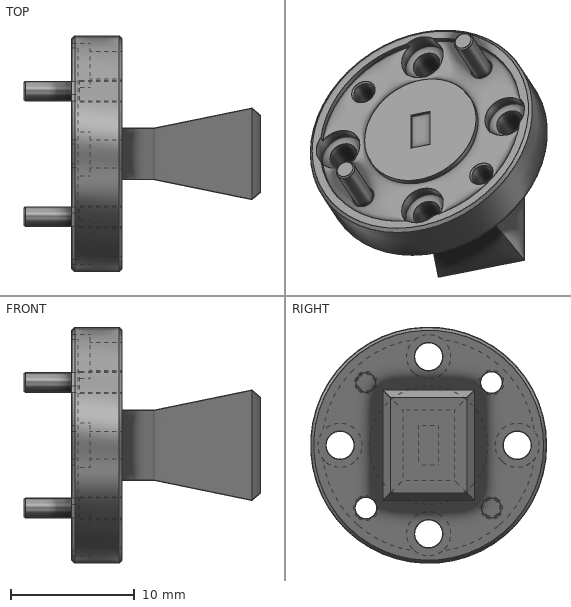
import cadquery as cq

FLANGE_DIAMETER = 19.05
FLANGE_THICKNESS = 4.07
FLANGE_CHAMFER = 0.25

RECESS_OUTER_DIAMETER = 17.22
BOSS_DIAMETER = 9.55
RECESS_DEPTH = 0.5

WINDOW_WIDTH = 1.62
WINDOW_HEIGHT = 3.17
WINDOW_DEPTH = 0.25

SCREW_CIRCLE_RADIUS = 7.15
SCREW_HOLE_DIAMETER = 2.25
COUNTERBORE_DIAMETER = 3.55
COUNTERBORE_DEPTH = 1.5

DOWEL_OFFSET = 5.06
DOWEL_HOLE_DIAMETER = 1.74
DOWEL_HOLE_CHAMFER = 0.13
PIN_DIAMETER = 1.59
PIN_PROJECTION = 3.86
PIN_TIP_CHAMFER = 0.11
PIN_SEAT_CHAMFER = 0.11

NECK_SIZE = (4.15, 5.65)
MOUTH_SIZE = (7.38, 8.9)
END_SIZE = (6.17, 7.68)
NECK_LENGTH = 2.56
BEVEL_LENGTH = 0.7
TOTAL_LENGTH = 19.11

HORN_END = TOTAL_LENGTH - PIN_PROJECTION
NECK_END = FLANGE_THICKNESS + NECK_LENGTH
MOUTH_START = HORN_END - BEVEL_LENGTH

SCREW_POINTS = [
    (SCREW_CIRCLE_RADIUS, 0),
    (-SCREW_CIRCLE_RADIUS, 0),
    (0, SCREW_CIRCLE_RADIUS),
    (0, -SCREW_CIRCLE_RADIUS),
]
PIN_POINTS = [(-DOWEL_OFFSET, DOWEL_OFFSET), (DOWEL_OFFSET, -DOWEL_OFFSET)]
OPEN_HOLE_POINTS = [(DOWEL_OFFSET, DOWEL_OFFSET), (-DOWEL_OFFSET, -DOWEL_OFFSET)]


def plane_at(x):
    """YZ work plane at position x along the axis: local x is Y, local y is Z."""
    return cq.Workplane("YZ", origin=(x, 0, 0))


def cylinder(diameter, start, end, points=((0, 0),)):
    """Cylinders along X from start to end, one at each (Y, Z) point."""
    return plane_at(start).pushPoints(points).circle(diameter / 2).extrude(end - start)


def taper(start, start_size, end, end_size):
    """Pyramid frustum between two centred rectangles."""
    return plane_at(start).rect(*start_size).workplane(offset=end - start).rect(*end_size).loft(ruled=True)


def chamfered_hole_cutters(diameter, chamfer, end, points):
    """Cutters from the recess floor to end, each with a chamfered mouth."""
    holes = cylinder(diameter, RECESS_DEPTH, end, points)
    mouth_radius = diameter / 2 + chamfer
    direction = cq.Vector(1, 0, 0)
    for y, z in points:
        mouth = cq.Solid.makeCone(mouth_radius, diameter / 2, chamfer, cq.Vector(RECESS_DEPTH, y, z), direction)
        holes = holes.union(cq.Workplane(mouth))
    return holes


def make_flange():
    flange = cylinder(FLANGE_DIAMETER, 0, FLANGE_THICKNESS).edges().chamfer(FLANGE_CHAMFER)
    recess = cylinder(RECESS_OUTER_DIAMETER, 0, RECESS_DEPTH).cut(cylinder(BOSS_DIAMETER, 0, RECESS_DEPTH))
    window = plane_at(0).rect(WINDOW_WIDTH, WINDOW_HEIGHT).extrude(WINDOW_DEPTH)
    flange = flange.cut(recess).cut(window)

    flange = flange.cut(cylinder(SCREW_HOLE_DIAMETER, 0, FLANGE_THICKNESS, SCREW_POINTS))
    flange = flange.cut(cylinder(COUNTERBORE_DIAMETER, 0, COUNTERBORE_DEPTH, SCREW_POINTS))

    open_holes = chamfered_hole_cutters(
        DOWEL_HOLE_DIAMETER, DOWEL_HOLE_CHAMFER, FLANGE_THICKNESS, OPEN_HOLE_POINTS
    )
    pin_seats = chamfered_hole_cutters(PIN_DIAMETER, PIN_SEAT_CHAMFER, FLANGE_THICKNESS, PIN_POINTS)
    return flange.cut(open_holes).cut(pin_seats)


def make_horn():
    neck = plane_at(FLANGE_THICKNESS).rect(*NECK_SIZE).extrude(NECK_LENGTH)
    flare = taper(NECK_END, NECK_SIZE, MOUTH_START, MOUTH_SIZE)
    bevel = taper(MOUTH_START, MOUTH_SIZE, HORN_END, END_SIZE)
    return neck.union(flare).union(bevel)


def make_pin(y, z):
    """Dowel pin through the full flange thickness, with a chamfered free tip."""
    pin = cylinder(PIN_DIAMETER, -PIN_PROJECTION, FLANGE_THICKNESS, [(y, z)])
    return pin.faces("<X").chamfer(PIN_TIP_CHAMFER)


housing = make_flange().union(make_horn())
pins = [make_pin(y, z) for y, z in PIN_POINTS]

result = cq.Compound.makeCompound([housing.val(), *[pin.val() for pin in pins]])